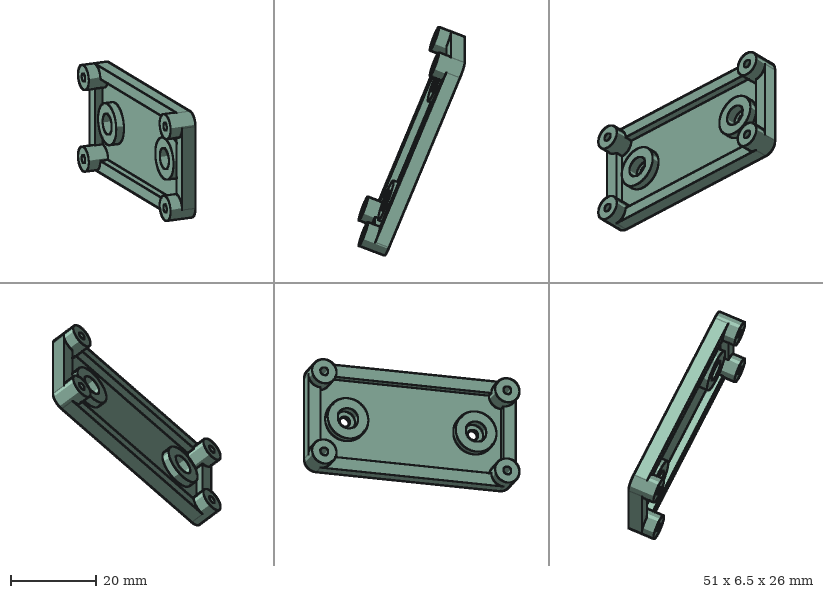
import cadquery as cq

length = 51.0
height = 26.0
corner_diameter = 6.0
rim_depth = 3.5
floor_thickness = 1.5

post_depth = 6.5
post_hole_diameter = 1.9
post_spacing_x = length - corner_diameter
post_spacing_z = height - corner_diameter

boss_diameter = 10.0
boss_depth = rim_depth
boss_spacing = 31.5
boss_hole_diameter = 2.5
counterbore_diameter = 5.0
counterbore_floor_depth = 1.0

post_centers = [
    (side_x * post_spacing_x / 2, side_z * post_spacing_z / 2)
    for side_x in (-1, 1)
    for side_z in (-1, 1)
]
boss_centers = [(side_x * boss_spacing / 2, 0) for side_x in (-1, 1)]


def plane_at(depth):
    """XZ workplane at a distance in front of the back face, normal toward -Y."""
    return cq.Workplane("XZ", origin=(0, -depth, 0))


def cylinders(centers, diameter, start, end):
    """Cylinders along Y at the given (X, Z) centers, between two depths."""
    return plane_at(start).pushPoints(centers).circle(diameter / 2).extrude(end - start)


def block(size_x, size_z, start, end):
    """Centered rectangular block between two depths."""
    return plane_at(start).rect(size_x, size_z).extrude(end - start)


def make_tray():
    """Cross-shaped plate, square-notched at the corners, with a recess inside a raised rim."""
    plate = block(length, post_spacing_z, 0, rim_depth)
    plate = plate.union(block(post_spacing_x, height, 0, rim_depth))
    return plate.cut(block(post_spacing_x, post_spacing_z, floor_thickness, rim_depth))


def add_corner_posts(body):
    """Full-depth posts that round off the notched corners, with through holes."""
    body = body.union(cylinders(post_centers, corner_diameter, 0, post_depth))
    return body.cut(cylinders(post_centers, post_hole_diameter, 0, post_depth))


def add_bosses(body):
    """Round bosses on the floor with counterbored through holes."""
    body = body.union(cylinders(boss_centers, boss_diameter, 0, boss_depth))
    body = body.cut(cylinders(boss_centers, boss_hole_diameter, 0, boss_depth))
    return body.cut(cylinders(boss_centers, counterbore_diameter, counterbore_floor_depth, boss_depth))


result = add_bosses(add_corner_posts(make_tray()))